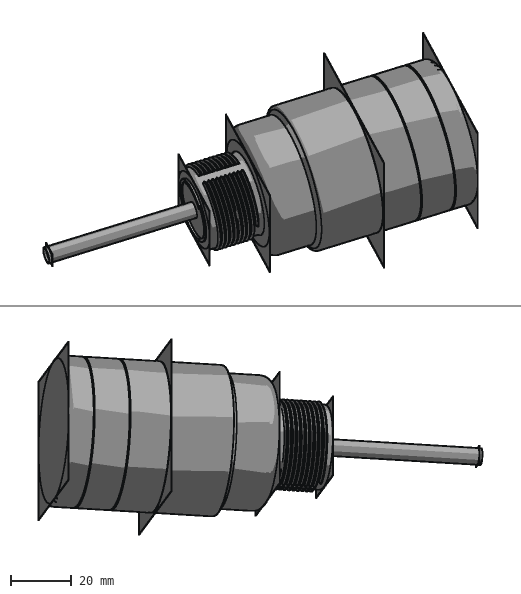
import cadquery as cq
import math


length = 143.7
middle_plate_y = 109.3
shoulder_y = 88.0
collar_start_y = 86.8
collar_end_y = 71.7
stem_end_y = 52.5

head_radius = 25.0
head_fillet = 1.7
shoulder_fillet = 0.7
shoulder_inner_radius = 23.8
collar_radius = 22.4
collar_fillet = 4.0

groove_width = 0.5
groove_depth = 0.1
groove_centers = (135.2, 123.1)

stem_radius = 14.1
stem_base_fillet = 0.9
stem_end_fillet = 1.3
thread_pitch = 1.5
thread_height = 0.9
thread_base = 1.3
thread_root_overlap = 0.1
thread_start_y = 69.2
thread_turns = 9.7
thread_gap_width = 3.5

ring_outer_radius = 10.9
ring_inner_radius = 9.8
ring_height = 0.5
crown_height = 0.9
crown_width = 12.6

plate_thickness = 0.1
head_plate_side = 47.4
middle_plate_side = 52.0
collar_plate_side = 38.2
stem_plate_side = 27.0
cable_plate_side = 5.7

cable_diameter = 5.6
cable_recess_diameter = 4.9
cable_recess_depth = 1.0


def cylinder_along_y(radius, start_y, end_y):
    """Solid cylinder on the Y axis between two stations."""
    base = cq.Workplane("XZ", origin=(0, start_y, 0))
    return base.circle(radius).extrude(start_y - end_y)


def square_plate(side, face_y):
    """Thin square plate whose -Y face lies at face_y."""
    base = cq.Workplane("XZ", origin=(0, face_y, 0))
    return base.rect(side, side).extrude(-plate_thickness)


def arc_point(center_x, center_y, radius, angle_degrees):
    """Point on a fillet arc at the given angle about its center."""
    angle = math.radians(angle_degrees)
    return center_x + radius * math.cos(angle), center_y + radius * math.sin(angle)


def make_body_of_revolution():
    """Head, shoulder, collar and plain stem turned about the Y axis."""
    collar_arc_x = collar_radius - collar_fillet
    collar_arc_y = collar_end_y + collar_fillet
    base_arc_x = stem_radius + stem_base_fillet
    base_arc_y = collar_end_y - stem_base_fillet
    end_arc_x = stem_radius - stem_end_fillet
    end_arc_y = stem_end_y + stem_end_fillet
    head_arc_x = head_radius - head_fillet
    head_arc_y = length - head_fillet
    shoulder_arc_x = head_radius - shoulder_fillet
    shoulder_arc_y = shoulder_y + shoulder_fillet
    outline = (
        cq.Workplane("XY")
        .moveTo(0, length)
        .lineTo(head_arc_x, length)
        .threePointArc(
            arc_point(head_arc_x, head_arc_y, head_fillet, 45),
            (head_radius, head_arc_y),
        )
        .lineTo(head_radius, shoulder_arc_y)
        .threePointArc(
            arc_point(shoulder_arc_x, shoulder_arc_y, shoulder_fillet, -45),
            (shoulder_arc_x, shoulder_y),
        )
        .lineTo(shoulder_inner_radius, shoulder_y)
        .lineTo(collar_radius, collar_start_y)
        .lineTo(collar_radius, collar_arc_y)
        .threePointArc(
            arc_point(collar_arc_x, collar_arc_y, collar_fillet, -45),
            (collar_arc_x, collar_end_y),
        )
        .lineTo(base_arc_x, collar_end_y)
        .threePointArc(
            arc_point(base_arc_x, base_arc_y, stem_base_fillet, 135),
            (stem_radius, base_arc_y),
        )
        .lineTo(stem_radius, end_arc_y)
        .threePointArc(
            arc_point(end_arc_x, end_arc_y, stem_end_fillet, -45),
            (end_arc_x, stem_end_y),
        )
        .lineTo(0, stem_end_y)
        .close()
    )
    return outline.revolve(360, (0, 0, 0), (0, 1, 0))


def make_groove(center_y):
    """Ring-shaped cutter for one shallow groove around the head."""
    start_y = center_y - groove_width / 2
    end_y = center_y + groove_width / 2
    outside = cylinder_along_y(head_radius + groove_depth, start_y, end_y)
    return outside.cut(cylinder_along_y(head_radius - groove_depth, start_y, end_y))


def make_thread():
    """Right-handed helical ridge, interrupted by a gap at the top and the bottom."""
    root_radius = stem_radius - thread_root_overlap
    crest_radius = stem_radius + thread_height
    thread_length = thread_pitch * thread_turns
    helix = cq.Wire.makeHelix(thread_pitch, thread_length, root_radius)
    ridge = (
        cq.Workplane("XZ")
        .moveTo(root_radius, -thread_base / 2)
        .lineTo(crest_radius, 0)
        .lineTo(root_radius, thread_base / 2)
        .close()
        .sweep(cq.Workplane(obj=helix), isFrenet=True)
    )
    ridge = ridge.rotate((0, 0, 0), (1, 0, 0), 90).translate((0, thread_start_y, 0))
    gap = cq.Workplane("XY").box(thread_gap_width, 2 * length, 2 * head_radius)
    return ridge.cut(gap)


def make_end_ring():
    """Low ring on the stem end with a higher crown at its top and bottom."""
    def ring(height):
        front_y = stem_end_y - height
        outer = cylinder_along_y(ring_outer_radius, front_y, stem_end_y)
        return outer.cut(cylinder_along_y(ring_inner_radius, front_y, stem_end_y))

    crown_limits = cq.Workplane("XY").box(crown_width, 2 * length, 2 * head_radius)
    return ring(ring_height).union(ring(crown_height).intersect(crown_limits))


def make_housing():
    housing = make_body_of_revolution()
    for center_y in groove_centers:
        housing = housing.cut(make_groove(center_y))
    for ridge_piece in make_thread().solids().vals():
        housing = housing.union(cq.Workplane(obj=ridge_piece))
    housing = housing.union(make_end_ring())
    plates = (
        (head_plate_side, length - plate_thickness),
        (middle_plate_side, middle_plate_y),
        (collar_plate_side, collar_end_y - plate_thickness),
        (stem_plate_side, stem_end_y),
    )
    for side, face_y in plates:
        housing = housing.union(square_plate(side, face_y))
    return housing


def make_cable():
    """Cable butting on the stem end, with a recessed tip and a square plate at its floor."""
    cable = cylinder_along_y(cable_diameter / 2, 0, stem_end_y)
    recess = cylinder_along_y(cable_recess_diameter / 2, 0, cable_recess_depth)
    return cable.cut(recess).union(square_plate(cable_plate_side, cable_recess_depth))


housing = make_housing()
cable = make_cable()

result = cq.Compound.makeCompound([housing.val(), cable.val()])